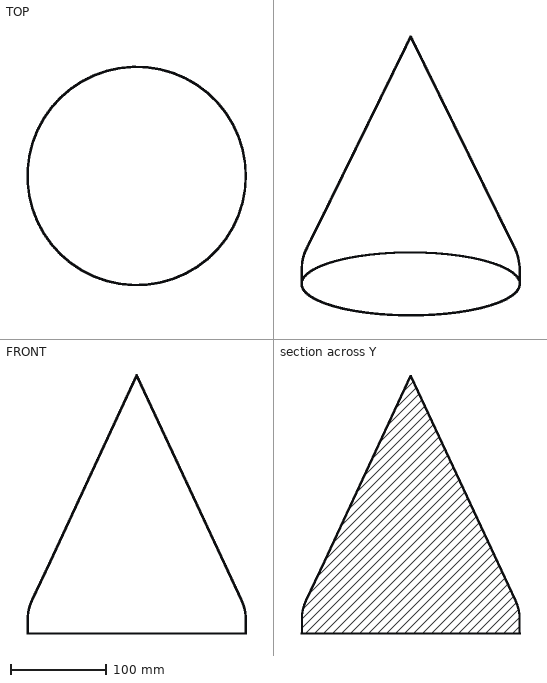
import cadquery as cq
import math

base_diameter = 230.0
total_height = 272.0
rim_height = 15.0
corner_height = 25.5

base_radius = base_diameter / 2
cone_half_angle = math.atan2(base_radius, total_height - corner_height)
tangent_length = corner_height - rim_height
cone_radius = base_radius - tangent_length * math.sin(cone_half_angle)
cone_base_z = corner_height + tangent_length * math.cos(cone_half_angle)


def nose_cone():
    """Solid of revolution about Z: rim, rounded shoulder and pointed cone."""
    half_profile = (
        cq.Workplane("XZ")
        .lineTo(base_radius, 0)
        .lineTo(base_radius, rim_height)
        .tangentArcPoint((cone_radius, cone_base_z), relative=False)
        .lineTo(0, total_height)
        .close()
    )
    return half_profile.revolve(360, (0, 0, 0), (0, 1, 0))


result = nose_cone()